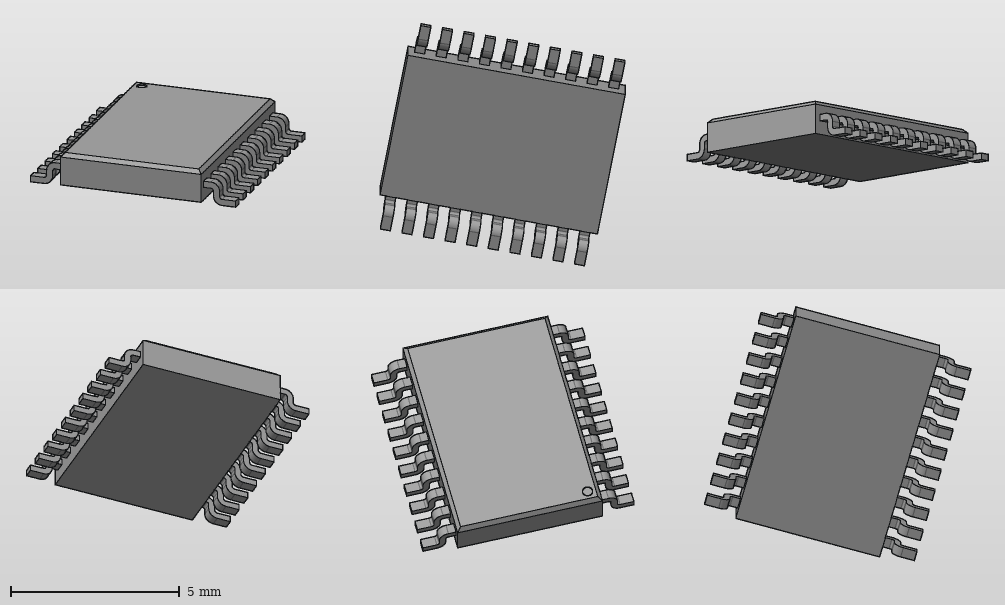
import cadquery as cq

body_width = 4.43
body_length = 6.55
overall_height = 1.1
standoff = 0.1
top_chamfer = 0.12

lead_span = 6.45
lead_width = 0.3
lead_thickness = 0.195
lead_top = 0.7
foot_flat = 0.425
inner_radius = 0.08
leads_per_side = 10
lead_row_length = 5.85
lead_embed = 0.13

mark_diameter = 0.3
mark_inset = 0.37
mark_depth = 0.04

outer_radius = inner_radius + lead_thickness
body_height = overall_height - standoff


def make_body():
    """Rectangular block with a chamfered upper rim, raised above the feet."""
    block = cq.Workplane("XY").workplane(offset=standoff)
    block = block.rect(body_width, body_length).extrude(body_height)
    return block.faces(">Z").edges().chamfer(top_chamfer)


def make_left_lead():
    """One S-bent lead on the -X side, centred on Y = 0 with its foot on Z = 0."""
    toe = -lead_span / 2
    root = -body_width / 2 + lead_embed
    bend_start = toe + foot_flat
    riser_left = bend_start + inner_radius
    riser_right = riser_left + lead_thickness
    shoulder = riser_left + outer_radius
    lead_underside = lead_top - lead_thickness
    return (
        cq.Workplane("XZ")
        .moveTo(toe, 0)
        .lineTo(bend_start, 0)
        .radiusArc((riser_right, outer_radius), -outer_radius)
        .lineTo(riser_right, lead_underside - inner_radius)
        .radiusArc((shoulder, lead_underside), inner_radius)
        .lineTo(root, lead_underside)
        .lineTo(root, lead_top)
        .lineTo(shoulder, lead_top)
        .radiusArc((riser_left, lead_top - outer_radius), -outer_radius)
        .lineTo(riser_left, lead_thickness + inner_radius)
        .radiusArc((bend_start, lead_thickness), inner_radius)
        .lineTo(toe, lead_thickness)
        .close()
        .extrude(lead_width / 2, both=True)
    )


def cut_pin_one_mark(body):
    """Shallow round recess in the top face at the -X, +Y corner."""
    mark = (
        cq.Workplane("XY")
        .workplane(offset=overall_height - mark_depth)
        .center(-body_width / 2 + mark_inset, body_length / 2 - mark_inset)
        .circle(mark_diameter / 2)
        .extrude(mark_depth)
    )
    return body.cut(mark)


result = cut_pin_one_mark(make_body())

left_lead = make_left_lead()
right_lead = left_lead.mirror("YZ")
lead_pitch = lead_row_length / (leads_per_side - 1)
first_lead_y = -lead_row_length / 2
for index in range(leads_per_side):
    lead_y = first_lead_y + index * lead_pitch
    for lead in (left_lead, right_lead):
        result = result.union(lead.translate((0, lead_y, 0)))